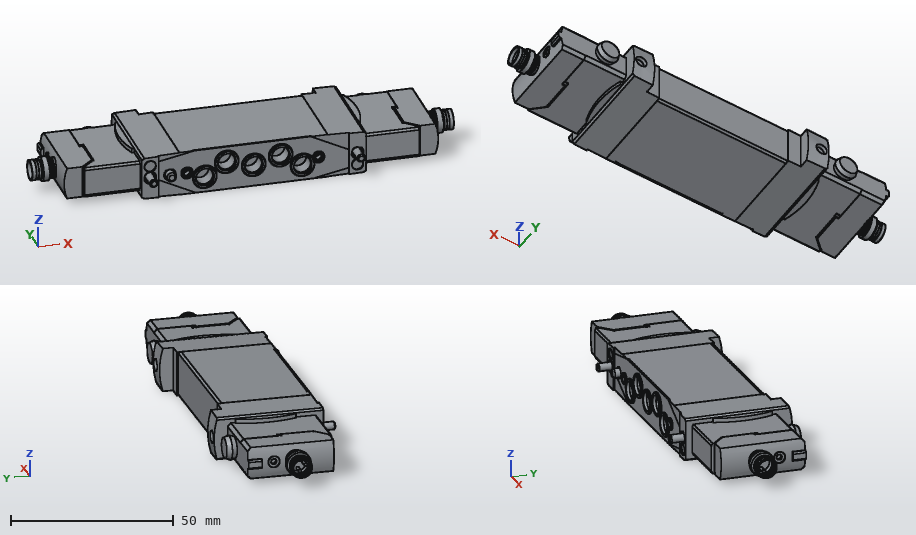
import cadquery as cq

FIT_MARGIN = 80.7

core_thickness = 14.4
cap_inner_thickness = 14.3
cap_outer_thickness = 13.7
core_half_length = 23.7
port_face_y = -14.7
core_back_y = 14.9
core_back_chamfer_y = 1.0
core_back_chamfer_z = 0.4

cap_end_x = -35.8
cap_back_y = 15.3
front_lug_y = -15.2
front_lug_x = -30.4
back_lug_y = 19.6
back_lug_corner_y = 18.5
back_lug_x = -28.2
cap_end_chamfer_x = 0.8
cap_end_chamfer_z = 0.5

screw_x = -33.1
overall_depth = 39.1
screw_tip_y = back_lug_y - overall_depth
screw_diameter = 2.5
screw_tip_chamfer = 0.4
screw_head_diameter = 3.6
screw_head_height = 2.7
screw_seat_y = 15.6
screw_hole_diameter = 3.0
screw_front_recess_diameter = 3.9
screw_front_recess_depth = 1.1
screw_head_recess_diameter = 3.9
dimple_z = 3.9
dimple_diameter = 3.6
dimple_depth = 0.4

gasket_depth = 0.5
gasket_upper_corner_z = 5.0
gasket_lower_corner_z = -1.2
gasket_upper_edge_x = -18.8
gasket_lower_edge_x = -18.3
lip_height = 0.5
lip_edge = 0.3
port_lip_diameter = 7.7
port_diameter = 5.5
port_seal_diameter = 5.8
port_depth = 5.4
port_places = [(-15.6, -2.0), (-8.6, 2.2), (0.0, 0.0), (8.6, 2.2), (15.6, -2.0)]
pilot_lip_diameter = 3.8
pilot_diameter = 2.2
pilot_depth = 2.7
pilot_places = [(-21.3, 0.0), (20.7, 0.0)]
locating_pin_x = -26.6
locating_pin_diameter = 3.0
locating_pin_length = 2.3
locating_pin_chamfer = 0.5
locating_pin_hole_diameter = 3.8

coil_thickness = 10.0
coil_front_y = -13.0
coil_front_chamfer_y = 0.4
coil_front_chamfer_z = 0.8
head_thickness = 10.2
head_front_y = -12.1
head_end_x = -58.8
head_bulge = 1.0
solenoid_back_y = 15.3
solenoid_back_chamfer = 1.1
split_x = -50.7
split_tongue_x = -49.2
split_tongue_top_y = 3.4
split_tongue_bottom_y = -8.2
split_front_x = -53.4
split_gap = 0.5
notch_front_y = 2.2
notch_floor_thickness = 9.4

rib_thickness = 12.6
rib_projection = 2.3
rib_edge = 0.7
rib_back_y = 12.9
rib_front_y = -6.3

knob_x = -43.7
knob_base_diameter = 6.7
knob_diameter = 7.7
knob_top_diameter = 6.5
knob_wide_y = 17.0
knob_top_y = 18.5

tab_end_x = -60.7
tab_front_y = 11.0
tab_width = 3.0
tab_chamfer = 0.5
lamp_y = 7.0
lamp_diameter = 3.6
lamp_depth = 0.4
lamp_hole_diameter = 1.7
lamp_hole_depth = 1.3

plug_y = 0.1
plug_end_x = -67.2
plug_root_x = -59.2
plug_diameter = 6.5
plug_groove_diameter = 5.8
plug_collar_diameter = 7.7
plug_collar_span = (-63.8, -61.9)
plug_groove_spans = [(-65.9, -65.1), (-64.3, -63.8), (-61.5, -60.9), (-60.5, -60.1)]
socket_diameter = 5.5
socket_depth = 5.4
contact_diameter = 1.0
contact_length = 2.7
contact_offset = 1.9


def x_cylinder(diameter, start_x, end_x, y, z=0.0):
    """Cylinder along X between two X positions."""
    plane = cq.Workplane("YZ", origin=(start_x, y, z))
    return plane.circle(diameter / 2).extrude(end_x - start_x)


def y_cylinder(diameter, start_y, end_y, x, z=0.0):
    """Cylinder along Y between two Y positions."""
    plane = cq.Workplane("XZ", origin=(x, start_y, z))
    return plane.circle(diameter / 2).extrude(start_y - end_y)


def box_between(x_span, y_span, thickness):
    """Block between X and Y limits, centred on Z = 0."""
    size_x = x_span[1] - x_span[0]
    size_y = y_span[1] - y_span[0]
    block = cq.Workplane("XY").box(size_x, size_y, thickness)
    return block.translate((sum(x_span) / 2, sum(y_span) / 2, 0))


def right_copy(left_part):
    """Turn a left-end feature half a turn about Y to the right end."""
    return left_part.rotate((0, 0, 0), (0, 1, 0), 180)


def make_core():
    """Middle of the housing, with both long back edges chamfered."""
    half = core_thickness / 2
    chamfer_y = core_back_y - core_back_chamfer_y
    profile = [
        (port_face_y, -half),
        (chamfer_y, -half),
        (core_back_y, -half + core_back_chamfer_z),
        (core_back_y, half - core_back_chamfer_z),
        (chamfer_y, half),
        (port_face_y, half),
    ]
    return cq.Workplane("YZ").polyline(profile).close().extrude(core_half_length, both=True)


def make_end_cap():
    """Left end of the housing: front and back lugs, screw passage, thinner towards its outer end."""
    half = cap_inner_thickness / 2
    outer_half = cap_outer_thickness / 2
    plan = [
        (cap_end_x, front_lug_y),
        (front_lug_x, front_lug_y),
        (front_lug_x, port_face_y),
        (-core_half_length, port_face_y),
        (-core_half_length, cap_back_y),
        (back_lug_x, cap_back_y),
        (back_lug_x, back_lug_y),
        (cap_end_x, back_lug_y),
    ]
    cap = cq.Workplane("XY").polyline(plan).close().extrude(half, both=True)

    rounded_back = (
        cq.Workplane("YZ")
        .moveTo(front_lug_y, -half)
        .lineTo(back_lug_corner_y, -half)
        .threePointArc((back_lug_y, 0), (back_lug_corner_y, half))
        .lineTo(front_lug_y, half)
        .close()
        .extrude(FIT_MARGIN, both=True)
    )
    chamfer_x = cap_end_x + cap_end_chamfer_x
    end_half = outer_half - cap_end_chamfer_z
    tapered_profile = [
        (-core_half_length, half),
        (chamfer_x, outer_half),
        (cap_end_x, end_half),
        (cap_end_x, -end_half),
        (chamfer_x, -outer_half),
        (-core_half_length, -half),
    ]
    taper = cq.Workplane("XZ").polyline(tapered_profile).close().extrude(FIT_MARGIN, both=True)
    cap = cap.intersect(rounded_back).intersect(taper)

    recess_floor_y = front_lug_y + screw_front_recess_depth
    cap = cap.cut(y_cylinder(screw_hole_diameter, front_lug_y, back_lug_y, screw_x))
    cap = cap.cut(y_cylinder(screw_front_recess_diameter, front_lug_y, recess_floor_y, screw_x))
    cap = cap.cut(y_cylinder(screw_head_recess_diameter, screw_seat_y, back_lug_y, screw_x))
    dimple_floor_y = front_lug_y + dimple_depth
    return cap.cut(y_cylinder(dimple_diameter, front_lug_y, dimple_floor_y, screw_x, dimple_z))


def make_gasket_plate():
    """Six-sided plate let into the port face, the same after half a turn about Y."""
    half = core_thickness / 2
    left_points = [
        (gasket_lower_edge_x, -half),
        (front_lug_x, gasket_lower_corner_z),
        (front_lug_x, gasket_upper_corner_z),
        (gasket_upper_edge_x, half),
    ]
    right_points = [(-x, -z) for x, z in left_points]
    plane = cq.Workplane("XZ", origin=(0, port_face_y, 0))
    return plane.polyline(left_points + right_points).close().extrude(-gasket_depth)


def make_housing():
    """Core and both end caps, with the gasket recess, port bores and locating pin."""
    cap = make_end_cap()
    housing = make_core().union(cap).union(right_copy(cap)).cut(make_gasket_plate())
    for x, z in port_places:
        housing = housing.cut(y_cylinder(port_diameter, port_face_y, port_face_y + port_depth, x, z))
    for x, z in pilot_places:
        housing = housing.cut(y_cylinder(pilot_diameter, port_face_y, port_face_y + pilot_depth, x, z))

    pin_tip_y = port_face_y - locating_pin_length
    pin = y_cylinder(locating_pin_diameter, pin_tip_y, port_face_y + 2 * gasket_depth, locating_pin_x)
    return housing.union(pin.faces("<Y").chamfer(locating_pin_chamfer))


def make_gasket():
    """Flush plate with a raised, eased lip round every port."""
    gasket = make_gasket_plate()
    plate_back_y = port_face_y + gasket_depth
    lip_y = port_face_y - lip_height
    openings = [(place, port_lip_diameter, port_seal_diameter) for place in port_places]
    openings += [(place, pilot_lip_diameter, pilot_diameter) for place in pilot_places]
    for (x, z), lip_diameter, _ in openings:
        lip = y_cylinder(lip_diameter, lip_y, plate_back_y, x, z)
        gasket = gasket.union(lip.faces("<Y").chamfer(lip_edge))
    for (x, z), _, bore_diameter in openings:
        gasket = gasket.cut(y_cylinder(bore_diameter, lip_y, plate_back_y, x, z))
    return gasket.cut(y_cylinder(locating_pin_hole_diameter, port_face_y, plate_back_y, locating_pin_x))


def make_screw():
    """Left mounting screw, its head resting on the seat in the back lug."""
    shank = y_cylinder(screw_diameter, screw_tip_y, screw_seat_y, screw_x)
    shank = shank.faces("<Y").chamfer(screw_tip_chamfer)
    head = y_cylinder(screw_head_diameter, screw_seat_y, screw_seat_y + screw_head_height, screw_x)
    return shank.union(head)


def chamfered_bar(thickness, front_y, front_chamfer_y, front_chamfer_z):
    """Long bar along X with chamfered back edges and, for a nonzero chamfer, front edges too."""
    half = thickness / 2
    upper = [
        (front_y, half - front_chamfer_z),
        (front_y + front_chamfer_y, half),
        (solenoid_back_y - solenoid_back_chamfer, half),
        (solenoid_back_y, half - solenoid_back_chamfer),
    ]
    lower = [(y, -z) for y, z in reversed(upper)]
    if front_chamfer_y == 0:
        upper = upper[1:]
        lower = lower[:-1]
    return cq.Workplane("YZ").polyline(upper + lower).close().extrude(FIT_MARGIN, both=True)


def make_coil():
    """Coil housing between the end cap and the stepped split line."""
    plan = [
        (cap_end_x, coil_front_y),
        (split_front_x, coil_front_y),
        (split_front_x, head_front_y),
        (split_tongue_x, split_tongue_bottom_y),
        (split_tongue_x, split_tongue_top_y),
        (split_x, split_tongue_top_y),
        (split_x, solenoid_back_y),
        (cap_end_x, solenoid_back_y),
    ]
    outline = cq.Workplane("XY").polyline(plan).close().extrude(coil_thickness, both=True)
    bar = chamfered_bar(coil_thickness, coil_front_y, coil_front_chamfer_y, coil_front_chamfer_z)
    return bar.intersect(outline)


def make_connector_head():
    """Outer end of the solenoid, with a bowed end face and a gap along its sloped corner."""
    half = head_thickness / 2
    bowed_end = (
        cq.Workplane("XZ")
        .moveTo(split_tongue_x, -half)
        .lineTo(head_end_x, -half)
        .threePointArc((head_end_x - head_bulge, 0), (head_end_x, half))
        .lineTo(split_tongue_x, half)
        .close()
        .extrude(FIT_MARGIN, both=True)
    )
    outer_x = head_end_x - head_bulge
    plan = [
        (outer_x, head_front_y),
        (split_front_x - split_gap, head_front_y),
        (split_tongue_x - split_gap, split_tongue_bottom_y),
        (split_tongue_x - split_gap, notch_front_y),
        (split_x, notch_front_y),
        (split_x, solenoid_back_y),
        (outer_x, solenoid_back_y),
    ]
    outline = cq.Workplane("XY").polyline(plan).close().extrude(head_thickness, both=True)
    return chamfered_bar(head_thickness, head_front_y, 0, 0).intersect(outline).intersect(bowed_end)


def make_rib():
    """Arc-shaped flange, thicker than the coil, standing against the end cap."""
    middle_y = (rib_back_y + rib_front_y) / 2
    return (
        cq.Workplane("XY")
        .moveTo(cap_end_x, rib_front_y)
        .lineTo(cap_end_x - rib_edge, rib_front_y)
        .threePointArc((cap_end_x - rib_projection, middle_y), (cap_end_x - rib_edge, rib_back_y))
        .lineTo(cap_end_x, rib_back_y)
        .close()
        .extrude(rib_thickness / 2, both=True)
    )


def make_knob():
    """Manual override knob on the back, widest just below its top."""
    base_y = solenoid_back_y - solenoid_back_chamfer
    profile = [
        (0, base_y),
        (knob_base_diameter / 2, base_y),
        (knob_base_diameter / 2, solenoid_back_y),
        (knob_diameter / 2, knob_wide_y),
        (knob_top_diameter / 2, knob_top_y),
        (0, knob_top_y),
    ]
    knob = cq.Workplane("XY").polyline(profile).close().revolve(360, (0, 0, 0), (0, 1, 0))
    return knob.translate((knob_x, 0, 0))


def make_plug():
    """Round connector with a collar, grooves and an open socket with three contacts."""
    plug = x_cylinder(plug_diameter, plug_end_x, plug_root_x, plug_y)
    plug = plug.union(x_cylinder(plug_collar_diameter, *plug_collar_span, plug_y))
    for start_x, end_x in plug_groove_spans:
        band = x_cylinder(plug_collar_diameter, start_x, end_x, plug_y)
        plug = plug.cut(band.cut(x_cylinder(plug_groove_diameter, start_x, end_x, plug_y)))
    socket_floor_x = plug_end_x + socket_depth
    plug = plug.cut(x_cylinder(socket_diameter, plug_end_x, socket_floor_x, plug_y))
    for offset_y, offset_z in [(0, contact_offset), (-contact_offset, 0), (0, -contact_offset)]:
        contact_tip_x = socket_floor_x - contact_length
        contact = x_cylinder(contact_diameter, contact_tip_x, plug_root_x, plug_y + offset_y, offset_z)
        plug = plug.union(contact)
    return plug


def make_solenoid():
    """Left solenoid: coil, connector head, rib, knob, tab, lamp and plug in one body."""
    tab = box_between((tab_end_x, split_x), (tab_front_y, solenoid_back_y), tab_width)
    tab = tab.faces("<X").edges("|Y").chamfer(tab_chamfer)
    notch_y_span = (notch_front_y, split_tongue_top_y)
    notch_floor = box_between((split_x, split_tongue_x), notch_y_span, notch_floor_thickness)
    solenoid = make_coil().union(make_connector_head()).union(notch_floor)
    for feature in [make_rib(), make_knob(), tab, make_plug()]:
        solenoid = solenoid.union(feature)
    face_x = head_end_x - head_bulge
    solenoid = solenoid.cut(x_cylinder(lamp_diameter, face_x, face_x + lamp_depth, lamp_y))
    return solenoid.cut(x_cylinder(lamp_hole_diameter, face_x, face_x + lamp_hole_depth, lamp_y))


housing = make_housing()
gasket = make_gasket()
left_screw = make_screw()
left_solenoid = make_solenoid()

bodies = [*housing.solids().vals(), *gasket.solids().vals()]
for left_body in [left_screw, left_solenoid]:
    for body in [left_body, right_copy(left_body)]:
        bodies += body.solids().vals()

result = cq.Compound.makeCompound(bodies)